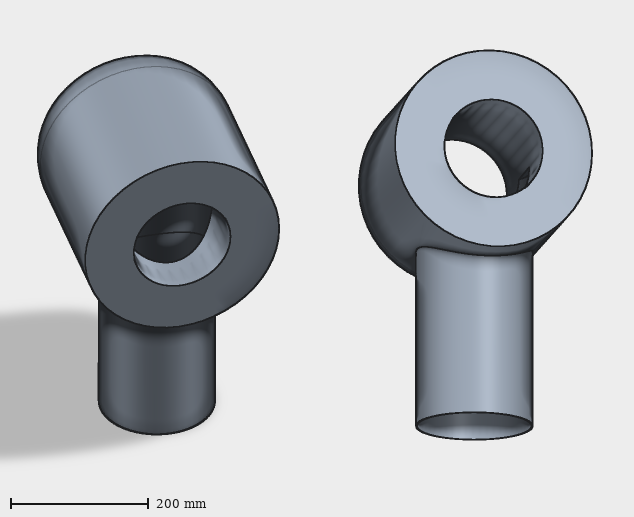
import cadquery as cq

barrel_radius = 146.55
barrel_length = 305.91
rim_depth = 61.5

bore_wide_radius = 78.2
bore_narrow_radius = 73.0

post_radius = 84.9
post_wall = 1.5
post_x = 162.2
post_y = 1.8
overall_height = 527.91
post_bottom = barrel_radius - overall_height


def revolve_about_x(profile):
    """Turn a closed XY profile once around the barrel axis."""
    return profile.close().revolve(360, (0, 0, 0), (1, 0, 0))


def make_barrel():
    """Tube wall whose -X end is a half ellipse spanning the full wall thickness."""
    half_wall = (barrel_radius - bore_narrow_radius) / 2
    profile = (
        cq.Workplane("XY")
        .moveTo(rim_depth, barrel_radius)
        .lineTo(barrel_length, barrel_radius)
        .lineTo(barrel_length, bore_narrow_radius)
        .lineTo(rim_depth, bore_narrow_radius)
        .ellipseArc(rim_depth, half_wall, 90, 270, startAtCurrent=True, sense=-1)
    )
    return revolve_about_x(profile)


def make_bore():
    """Tapered core that clears the bore and trims the inner side of the rim."""
    profile = (
        cq.Workplane("XY")
        .lineTo(barrel_length, 0)
        .lineTo(barrel_length, bore_narrow_radius)
        .lineTo(0, bore_wide_radius)
    )
    return revolve_about_x(profile)


def make_post_cylinder(radius):
    """Vertical cylinder from the foot of the post up to the barrel axis."""
    foot = cq.Workplane("XY", origin=(post_x, post_y, post_bottom))
    return foot.circle(radius).extrude(-post_bottom)


post = make_post_cylinder(post_radius)
post_hole = make_post_cylinder(post_radius - post_wall)
result = make_barrel().union(post).cut(make_bore()).cut(post_hole)